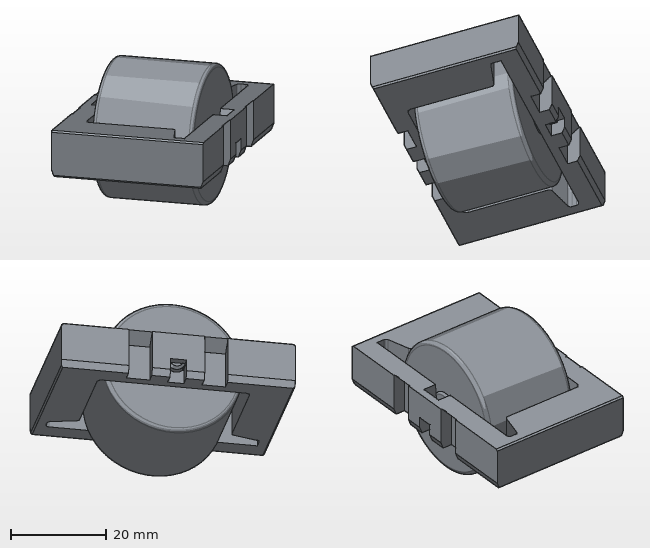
import cadquery as cq
import math

FRAME_X = 33.3
FRAME_Y = 50.0
FRAME_Z = 10.0
END_CHAMFER = 0.35
SIDE_BEVEL_DEPTH = 0.6
SIDE_BEVEL_HEIGHT = 1.55

WALL = 4.8
OPENING_HALF_Y = 16.3
RELIEF_HALF_Y = 22.65
RELIEF_ROOT_X = 7.8
RELIEF_TIP_X = 9.5
CORNER_RADIUS = 1.0
RELIEF_RADIUS = 0.75

GROOVE_INNER_Y = 5.6
GROOVE_WIDTH = 5.0
GROOVE_DEPTH = 2.8
GROOVE_TOP_DEPTH = 0.2
GROOVE_CEILING_DROP = 2.3
SEAT_RADIUS = 2.0
SEAT_CENTER_Z = -0.5
SEAT_TOP_HALF_WIDTH = 2.55
SEAT_SKIN = 1.75
WINDOW_WIDTH = 3.45
WINDOW_HEIGHT = 4.05
WINDOW_DEPTH = 3.0

ROLLER_DIAMETER = 29.9
ROLLER_WIDTH = 22.1
ROLLER_FILLET = 0.8
HUB_RADIUS = 3.85
HUB_PROJECTION = 0.5
DRUM_OFFSET = 0.1
AXLE_DIAMETER = 4.0
AXLE_LENGTH = 29.05
AXLE_CHAMFER = 0.55

HALF_X = FRAME_X / 2
HALF_Z = FRAME_Z / 2
OPENING_HALF_X = HALF_X - WALL


def frame_block():
    """Block with chamfered ends and bevels under its X sides."""
    block = (
        cq.Workplane("XZ")
        .polyline([
            (-HALF_X, HALF_Z),
            (HALF_X, HALF_Z),
            (HALF_X, -HALF_Z + SIDE_BEVEL_HEIGHT),
            (HALF_X - SIDE_BEVEL_DEPTH, -HALF_Z),
            (-HALF_X + SIDE_BEVEL_DEPTH, -HALF_Z),
            (-HALF_X, -HALF_Z + SIDE_BEVEL_HEIGHT),
        ])
        .close()
        .extrude(FRAME_Y / 2, both=True)
    )
    end_edges = "(<Y or >Y) and (<Z or >Z)"
    return block.edges("|X").edges(end_edges).chamfer(END_CHAMFER)


def opening():
    """Roller opening with a tapered relief at both ends of the +X wall."""
    cutter = (
        cq.Workplane("XY")
        .polyline([
            (-OPENING_HALF_X, -OPENING_HALF_Y),
            (RELIEF_ROOT_X, -OPENING_HALF_Y),
            (RELIEF_TIP_X, -RELIEF_HALF_Y),
            (OPENING_HALF_X, -RELIEF_HALF_Y),
            (OPENING_HALF_X, RELIEF_HALF_Y),
            (RELIEF_TIP_X, RELIEF_HALF_Y),
            (RELIEF_ROOT_X, OPENING_HALF_Y),
            (-OPENING_HALF_X, OPENING_HALF_Y),
        ])
        .close()
        .extrude(HALF_Z, both=True)
    )
    cutter = cutter.edges("|Z and <X").fillet(CORNER_RADIUS)
    rounded_corners = [
        (RELIEF_ROOT_X, -OPENING_HALF_Y),
        (RELIEF_TIP_X, -RELIEF_HALF_Y),
        (OPENING_HALF_X, RELIEF_HALF_Y),
        (RELIEF_TIP_X, RELIEF_HALF_Y),
        (RELIEF_ROOT_X, OPENING_HALF_Y),
    ]
    for x, y in rounded_corners:
        corner = cq.selectors.NearestToPointSelector((x, y, 0))
        cutter = cutter.edges("|Z").edges(corner).fillet(RELIEF_RADIUS)
    return cutter


def side_groove(start_y):
    """Groove in the -X side, under a sloping ceiling."""
    return (
        cq.Workplane("XZ", origin=(0, start_y, 0))
        .polyline([
            (-HALF_X, HALF_Z),
            (-HALF_X + GROOVE_TOP_DEPTH, HALF_Z),
            (-HALF_X + GROOVE_DEPTH, HALF_Z - GROOVE_CEILING_DROP),
            (-HALF_X + GROOVE_DEPTH, -HALF_Z),
            (-HALF_X, -HALF_Z),
        ])
        .close()
        .extrude(-GROOVE_WIDTH)
    )


def axle_seat():
    """Seat in the -X wall, open upward and inward, tapering to a tangent round bottom."""
    mouth_height = HALF_Z - SEAT_CENTER_Z
    mouth_distance = math.hypot(SEAT_TOP_HALF_WIDTH, mouth_height)
    mouth_angle = math.atan2(mouth_height, SEAT_TOP_HALF_WIDTH)
    tangent_angle = mouth_angle - math.acos(SEAT_RADIUS / mouth_distance)
    tangent_y = SEAT_RADIUS * math.cos(tangent_angle)
    tangent_z = SEAT_CENTER_Z + SEAT_RADIUS * math.sin(tangent_angle)
    return (
        cq.Workplane("YZ", origin=(-HALF_X + SEAT_SKIN, 0, 0))
        .moveTo(-SEAT_TOP_HALF_WIDTH, HALF_Z)
        .lineTo(-tangent_y, tangent_z)
        .threePointArc((0, SEAT_CENTER_Z - SEAT_RADIUS), (tangent_y, tangent_z))
        .lineTo(SEAT_TOP_HALF_WIDTH, HALF_Z)
        .close()
        .extrude(WALL - SEAT_SKIN)
    )


def side_window():
    """Window at the foot of the -X wall that opens into the axle seat."""
    return (
        cq.Workplane("XY")
        .box(WINDOW_DEPTH, WINDOW_WIDTH, WINDOW_HEIGHT, centered=(False, True, False))
        .translate((-HALF_X, 0, -HALF_Z))
    )


def make_frame():
    body = frame_block().cut(opening())
    wall_cuts = [
        side_groove(GROOVE_INNER_Y),
        side_groove(-GROOVE_INNER_Y - GROOVE_WIDTH),
        axle_seat(),
        side_window(),
    ]
    for cutter in wall_cuts:
        body = body.cut(cutter).cut(cutter.mirror("YZ"))
    return body


def cylinder_along_x(diameter, length):
    return cq.Workplane("YZ", origin=(-length / 2, 0, 0)).circle(diameter / 2).extrude(length)


def make_roller():
    """Roller with its hubs and axle stubs in one piece."""
    drum = cylinder_along_x(ROLLER_DIAMETER, ROLLER_WIDTH).faces("<X or >X").edges().fillet(ROLLER_FILLET)
    hub_length = ROLLER_WIDTH + 2 * HUB_PROJECTION
    hub = cylinder_along_x(2 * HUB_RADIUS, hub_length).faces("<X or >X").edges().fillet(HUB_PROJECTION)
    axle = cylinder_along_x(AXLE_DIAMETER, AXLE_LENGTH).faces("<X or >X").edges().chamfer(AXLE_CHAMFER)
    return drum.union(hub).translate((DRUM_OFFSET, 0, 0)).union(axle)


frame = make_frame()
roller = make_roller()
result = cq.Compound.makeCompound([frame.val(), roller.val()])